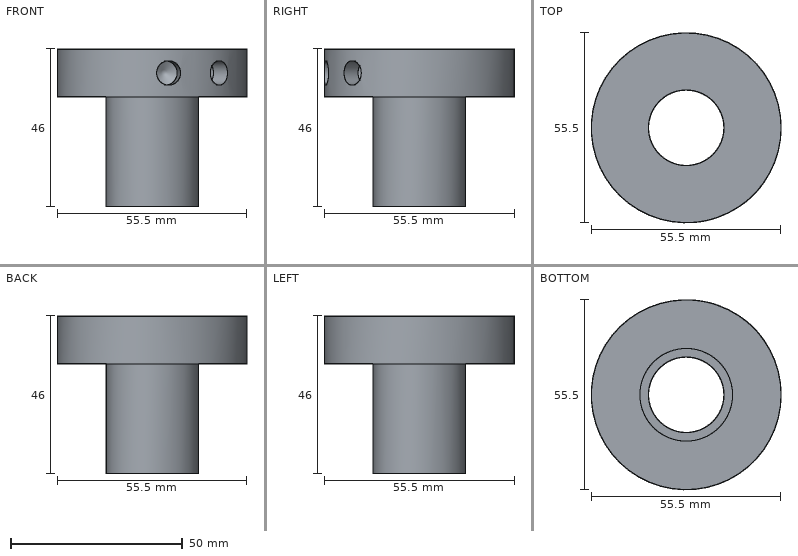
import cadquery as cq
import math

bore_diameter = 22.0

flange_diameter = 55.5
flange_height = 14.0

sleeve_diameter = 27.1
sleeve_height = 32.0

hole_diameter = 7.1
hole_depth = 6.0
drill_point_angle = 118.0
hole_directions = [-80.0, -45.0]

flange_radius = flange_diameter / 2
hole_radius = hole_diameter / 2
drill_point_length = hole_radius / math.tan(math.radians(drill_point_angle / 2))
hole_level = sleeve_height + flange_height / 2
total_height = sleeve_height + flange_height


def make_blank():
    """Make the sleeve and flange as one stepped, bored turning about Z."""
    sleeve = cq.Workplane("XY").circle(sleeve_diameter / 2).extrude(sleeve_height)
    flange = (
        cq.Workplane("XY")
        .workplane(offset=sleeve_height)
        .circle(flange_radius)
        .extrude(flange_height)
    )
    bore = cq.Workplane("XY").circle(bore_diameter / 2).extrude(total_height)
    return sleeve.union(flange).cut(bore)


def make_hole_cutter(direction):
    """Make a drill-shaped cutter pointing inward from the rim."""
    shoulder = flange_radius - hole_depth
    outer_end = flange_radius + hole_radius
    cutter = (
        cq.Workplane("XY")
        .moveTo(shoulder - drill_point_length, 0)
        .lineTo(shoulder, hole_radius)
        .lineTo(outer_end, hole_radius)
        .lineTo(outer_end, 0)
        .close()
        .revolve(360, (0, 0, 0), (1, 0, 0))
    )
    return cutter.rotate((0, 0, 0), (0, 0, 1), direction).translate((0, 0, hole_level))


def make_flanged_sleeve():
    """Make the flanged sleeve with its radial rim holes."""
    body = make_blank()
    for direction in hole_directions:
        body = body.cut(make_hole_cutter(direction))
    return body


flanged_sleeve = make_flanged_sleeve()

result = cq.Compound.makeCompound([flanged_sleeve.val()])